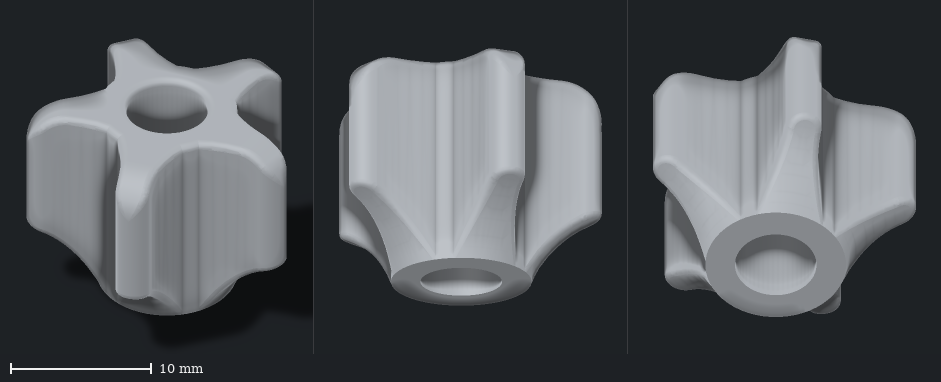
import cadquery as cq
import math

arm_count = 5
first_arm_angle = -90
height = 15.0
core_radius = 5.0
bore_diameter = 5.8
overall_width = 19.14
tip_radius = 1.25
valley_half_angle = 7.2
shoulder_radius = 3.0
edge_radius = 0.5
underside_rise = 5.0
underside_radius = 8.04
root_overlap = 0.86

arm_pitch = 360 / arm_count
widest_arm_tilt = math.radians(first_arm_angle + arm_pitch)
tip_center = (overall_width / 2 - tip_radius) / math.cos(widest_arm_tilt)
tip_reach = tip_center + tip_radius
root_angle = math.radians(arm_pitch / 2 - valley_half_angle)
root_x = core_radius * math.cos(root_angle)
root_y = core_radius * math.sin(root_angle)

flank_run = tip_center - root_x
flank_rise = root_y - tip_radius
flank_radius = (flank_run**2 + flank_rise**2) / (2 * flank_rise)


def flank_half_width(x):
    """Half-width of the arm at distance x from the axis."""
    return tip_radius + flank_radius - math.sqrt(flank_radius**2 - (tip_center - x) ** 2)


def arm_prism():
    """Full-height arm along +X with concave flanks and a round tip."""
    inner_x = root_x - root_overlap
    inner_y = flank_half_width(inner_x)
    mid_x = (inner_x + tip_center) / 2
    mid_y = flank_half_width(mid_x)
    return (
        cq.Workplane("XY")
        .moveTo(inner_x, -inner_y)
        .threePointArc((mid_x, -mid_y), (tip_center, -tip_radius))
        .threePointArc((tip_reach, 0), (tip_center, tip_radius))
        .threePointArc((mid_x, mid_y), (inner_x, inner_y))
        .lineTo(0, 0)
        .close()
        .extrude(height)
    )


def shoulder_envelope():
    """Block whose upper outer corner is rounded across the whole arm width."""
    corner_drop = shoulder_radius * (1 - math.sqrt(0.5))
    return (
        cq.Workplane("XZ")
        .lineTo(tip_reach, 0)
        .lineTo(tip_reach, height - shoulder_radius)
        .threePointArc(
            (tip_reach - corner_drop, height - corner_drop),
            (tip_reach - shoulder_radius, height),
        )
        .lineTo(0, height)
        .close()
        .extrude(core_radius, both=True)
    )


def underside_envelope():
    """Turned body with a concave sweep from the foot of the core out to the arm tips."""
    return (
        cq.Workplane("XZ")
        .lineTo(core_radius, 0)
        .radiusArc((tip_reach, underside_rise), underside_radius)
        .lineTo(tip_reach, height)
        .lineTo(0, height)
        .close()
        .revolve(360, (0, 0, 0), (0, 1, 0))
    )


def make_arm():
    arm = arm_prism().intersect(shoulder_envelope()).intersect(underside_envelope())
    flank_tops = arm.faces(">Z").edges("%CIRCLE")
    arm = flank_tops.fillet(edge_radius)
    underside_box = cq.selectors.BoxSelector(
        (root_x, -root_y, edge_radius), (tip_reach, root_y, underside_rise)
    )
    return arm.edges(underside_box).fillet(edge_radius)


core = cq.Workplane("XY").circle(core_radius).extrude(height)
core = core.faces(">Z").edges().fillet(edge_radius)
arm = make_arm()
body = core
for index in range(arm_count):
    placed_arm = arm.rotate((0, 0, 0), (0, 0, 1), first_arm_angle + index * arm_pitch)
    body = body.union(placed_arm, clean=False)
body = body.clean()

body = body.cut(cq.Workplane("XY").circle(bore_diameter / 2).extrude(height))
mouth = cq.selectors.RadiusNthSelector(0)
result = body.faces(">Z").edges("%CIRCLE").edges(mouth).fillet(edge_radius)